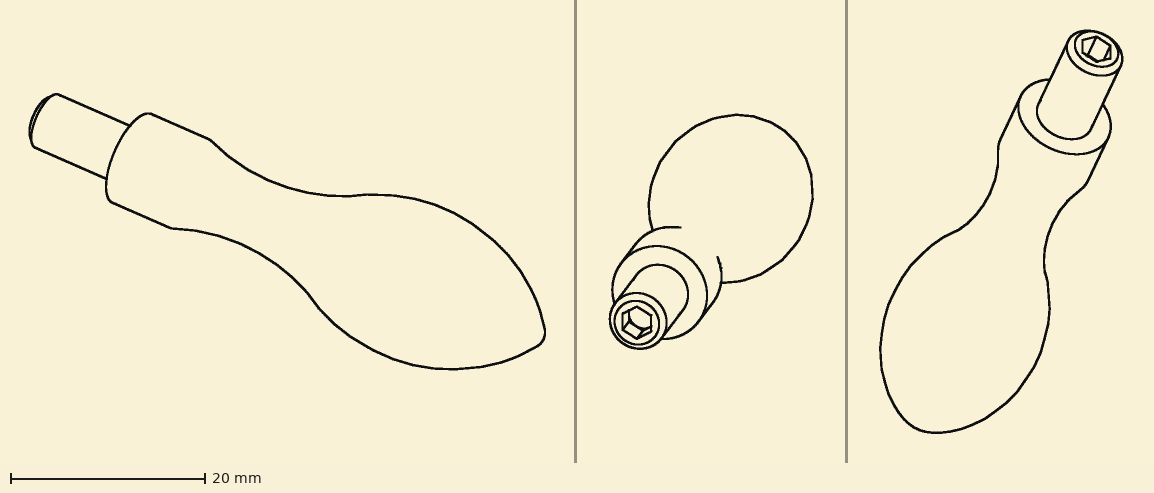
import cadquery as cq
import math

shank_length = 11.0
collar_length = 7.0
neck_x = 14.9
bulb_start_x = 24.2
bulb_peak_x = 34.3
grip_length = 50.0

shank_radius = 6.0 / 2
collar_radius = 10.0 / 2
neck_radius = 3.58
bulb_peak_radius = 16.41 / 2

shank_chamfer = 0.65
bulb_curve_radius = 20.0

socket_across_flats = 3.0
socket_depth = 3.0
socket_cone_angle = 120.0


def neck_arc_middle(end_x, end_radius):
    """Middle point of the arc that is level at the neck and runs to the given end."""
    run = end_x - neck_x
    rise = end_radius - neck_radius
    curve_radius = (run**2 + rise**2) / (2 * rise)
    half_sweep = math.asin(run / curve_radius) / 2
    return (
        neck_x + curve_radius * math.sin(half_sweep),
        neck_radius + curve_radius * (1 - math.cos(half_sweep)),
    )


def make_handle():
    """Shank, collar, neck and bulb as one half outline turned about the X axis."""
    bulb_center_r = bulb_peak_radius - bulb_curve_radius
    bulb_start_radius = bulb_center_r + math.sqrt(bulb_curve_radius**2 - (bulb_start_x - bulb_peak_x) ** 2)

    reach = grip_length - bulb_peak_x
    tip_radius = (bulb_curve_radius**2 - reach**2 - bulb_center_r**2) / (2 * (bulb_curve_radius - reach))
    tip_center_x = grip_length - tip_radius
    tip_angle = math.atan2(-bulb_center_r, tip_center_x - bulb_peak_x)

    def tip_point(angle):
        return (tip_center_x + tip_radius * math.cos(angle), tip_radius * math.sin(angle))

    collar_end = (collar_length, collar_radius)
    neck = (neck_x, neck_radius)
    bulb_start = (bulb_start_x, bulb_start_radius)
    bulb_peak = (bulb_peak_x, bulb_peak_radius)

    outline = (
        cq.Workplane("XY")
        .moveTo(-shank_length, 0)
        .lineTo(-shank_length, shank_radius - shank_chamfer)
        .lineTo(-shank_length + shank_chamfer, shank_radius)
        .lineTo(0, shank_radius)
        .lineTo(0, collar_radius)
        .lineTo(*collar_end)
        .threePointArc(neck_arc_middle(*collar_end), neck)
        .threePointArc(neck_arc_middle(*bulb_start), bulb_start)
        .threePointArc(bulb_peak, tip_point(tip_angle))
        .threePointArc(tip_point(tip_angle / 2), (grip_length, 0))
        .close()
    )
    return outline.revolve(360, (0, 0, 0), (1, 0, 0))


def make_socket():
    """Hexagonal hole, corners up and down, with a cone in its bottom that touches the flats."""
    cone_radius = socket_across_flats / 2
    corner_radius = cone_radius / math.cos(math.radians(30))
    cone_depth = cone_radius / math.tan(math.radians(socket_cone_angle / 2))
    bottom_x = -shank_length + socket_depth

    hexagon = (
        cq.Workplane("YZ", origin=(-shank_length, 0, 0))
        .transformed(rotate=(0, 0, 90))
        .polygon(6, 2 * corner_radius)
        .extrude(socket_depth)
    )
    cone = cq.Solid.makeCone(
        cone_radius, 0, cone_depth, cq.Vector(bottom_x, 0, 0), cq.Vector(1, 0, 0)
    )
    return hexagon.union(cq.Workplane(cone))


result = make_handle().cut(make_socket())